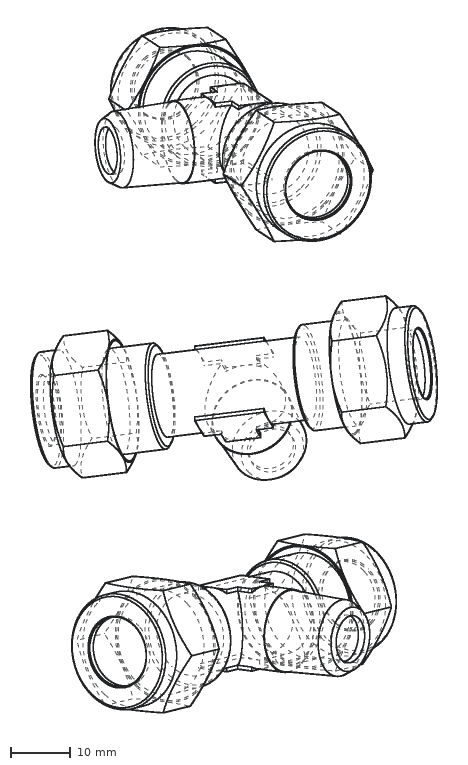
import cadquery as cq
import math

body_radius = 7.05
branch_reach = 24.5

taper_start = 11.55
taper_root_radius = 6.9
taper_end = 22.6
taper_end_radius = 6.55
tip_radius = 5.5
branch_bore_radius = 4.0
branch_bore_depth = 1.3

overall_length = 66.0
end_x = overall_length / 2
collar_x = 12.5
collar_radius = 9.05
collar_shoulder_x = 12.7
collar_shoulder_radius = 8.6
collar_full_x = 13.1
nut_inner_x = 19.55
nut_outer_x = 29.5
nut_across_flats = 21.0
nut_across_corners = nut_across_flats / math.cos(math.radians(30))
nut_inner_bevel_radius = nut_across_flats / 2
nut_mouth_radius = 10.2
nut_bevel_angle = 30.0
rim_radius = 9.9
rim_chamfer = 0.4
tube_bore_radius = 5.95
tube_bore_chamfer = 0.2
tube_bore_depth = 1.2

pad_length = 12.15
pad_width = 6.1
pad_stem_width = 6.15
pad_stem_reach = 6.0


def revolve_about_x(profile):
    """Turn a closed (x, radius) outline around the X axis."""
    return cq.Workplane("XY").polyline(profile).close().revolve(360, (0, 0, 0), (1, 0, 0))


def make_branch():
    """Turned branch pointing along -Y, with its shallow tip bore."""
    profile = [
        (0, 0),
        (body_radius, 0),
        (body_radius, -taper_start),
        (taper_root_radius, -taper_start),
        (taper_end_radius, -taper_end),
        (tip_radius, -branch_reach),
        (branch_bore_radius, -branch_reach),
        (branch_bore_radius, -branch_reach + branch_bore_depth),
        (0, -branch_reach + branch_bore_depth),
    ]
    return cq.Workplane("XY").polyline(profile).close().revolve(360, (0, 0, 0), (0, 1, 0))


def make_nut():
    """Hexagonal nut on +X with flats on +Z and -Z, bevelled ends and a 45-degree countersunk mouth."""
    corner_radius = nut_across_corners / 2
    slope = math.tan(math.radians(nut_bevel_angle))
    inner_bevel = (corner_radius - nut_inner_bevel_radius) * slope
    outer_bevel = (corner_radius - rim_radius) * slope
    hexagon = (
        cq.Workplane("YZ", origin=(nut_inner_x, 0, 0))
        .polygon(6, nut_across_corners)
        .extrude(nut_outer_x - nut_inner_x)
    )
    envelope = revolve_about_x([
        (nut_inner_x, 0),
        (nut_inner_x, nut_inner_bevel_radius),
        (nut_inner_x + inner_bevel, corner_radius),
        (nut_outer_x - outer_bevel, corner_radius),
        (nut_outer_x, rim_radius),
        (nut_outer_x, 0),
    ])
    mouth_depth = nut_mouth_radius - collar_radius
    mouth = revolve_about_x([
        (nut_inner_x, 0),
        (nut_inner_x, nut_mouth_radius),
        (nut_inner_x + mouth_depth, collar_radius),
        (nut_inner_x + mouth_depth, 0),
    ])
    return hexagon.intersect(envelope).cut(mouth)


def make_compression_end():
    """Collar, nut and bored rim on +X."""
    core = revolve_about_x([
        (collar_x, 0),
        (collar_x, body_radius),
        (collar_shoulder_x, collar_shoulder_radius),
        (collar_full_x, collar_radius),
        (nut_outer_x, collar_radius),
        (nut_outer_x, rim_radius),
        (end_x - rim_chamfer, rim_radius),
        (end_x, rim_radius - rim_chamfer),
        (end_x, tube_bore_radius + tube_bore_chamfer),
        (end_x - tube_bore_chamfer, tube_bore_radius),
        (end_x - tube_bore_depth, tube_bore_radius),
        (end_x - tube_bore_depth, 0),
    ])
    return core.union(make_nut())


def make_pads():
    """T-shaped block whose top and bottom faces touch the crown of the run."""
    height = 2 * body_radius
    bar = cq.Workplane("XY").box(pad_length, pad_width, height)
    stem = cq.Workplane("XY").box(pad_stem_width, pad_stem_reach, height)
    return bar.union(stem.translate((0, -pad_stem_reach / 2, 0)))


run = cq.Workplane("YZ").circle(body_radius).extrude(collar_x, both=True)
compression_end = make_compression_end()

result = (
    run.union(make_branch())
    .union(make_pads())
    .union(compression_end)
    .union(compression_end.mirror("YZ"))
)